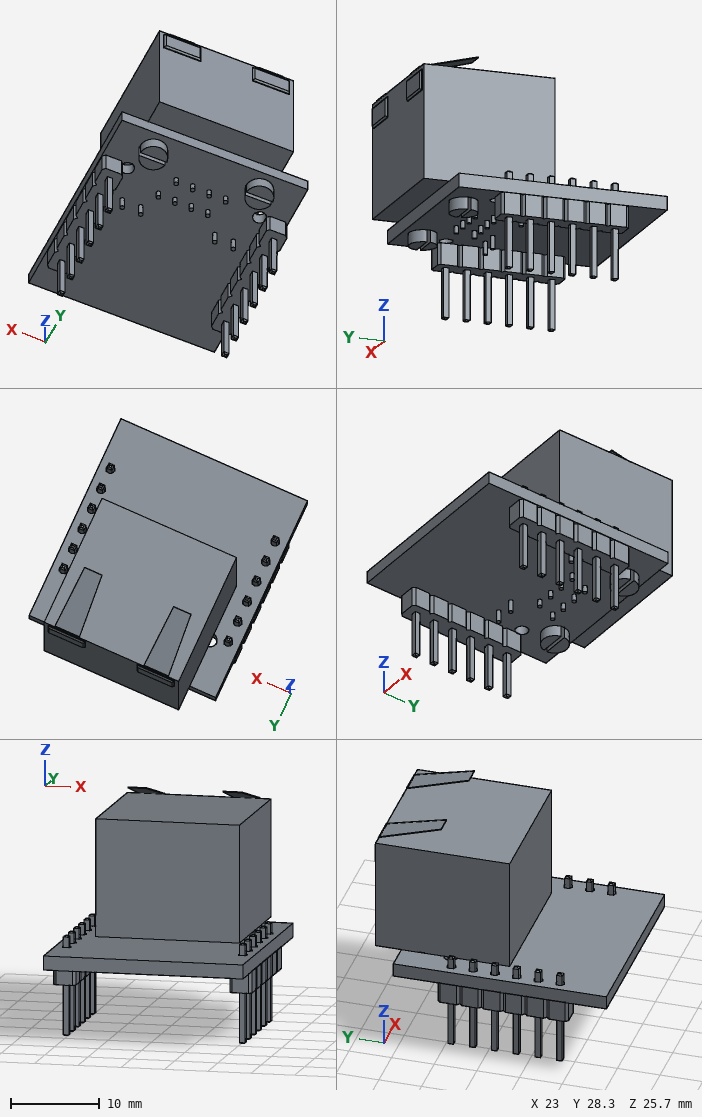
import cadquery as cq
import math


BOARD_X = 23.0
BOARD_Y = 25.0
BOARD_T = 1.6
OPEN_HOLE_D = 1.55
OPEN_HOLE_X = 8.18
OPEN_HOLE_SETBACK = 8.83

PIN_COUNT = 6
PITCH = 2.55
HEADER_X = 10.15
HEADER_Y = -0.3
HEADER_H = 2.55
HEADER_CHAMFER = 0.3
PIN_W = 0.65
PIN_ABOVE_BOARD = 1.3
PIN_BELOW_HEADER = 6.0
PIN_TIP_W = 0.25
PIN_TIP_H = 0.15
PIN_HOLE_D = 1.0

JACK_X = 16.58
JACK_CENTRE_X = -0.03
JACK_Y = 15.73
JACK_Z = 13.5
MOUTH_Y = BOARD_Y / 2 + 3.03
JACK_TOP = BOARD_T + JACK_Z

POST_D = 3.25
POST_X = 6.57
POST_SETBACK = 5.4
POST_BELOW_BOARD = 1.42
POST_SLOT_W = 0.42
POST_SLOT_OFFSET = 0.1

CONTACT_D = 0.5
SIGNAL_COUNT = 8
SIGNAL_PITCH = 1.02
SIGNAL_SETBACK = POST_SETBACK + PITCH
SIGNAL_BELOW_BOARD = 0.85
LED_CONTACT_XS = (4.58, 6.88)
LED_CONTACT_SETBACK = SIGNAL_SETBACK + 2 * PITCH
LED_CONTACT_BELOW_BOARD = 1.53

LENS_AXIS_X = 5.5
FINGER_ROOT_W = 3.03
FINGER_TIP_W = 2.15
FINGER_REACH = 7.2
FINGER_T = 0.1
FINGER_EMBED = 0.03
FINGER_ANGLE = 15.6
LENS_X = 4.58
LENS_Z = 2.43
LENS_DROP = 0.5
LENS_DEPTH = 0.28
LENS_CHAMFER = 0.2

PIN_YS = [HEADER_Y + (i - (PIN_COUNT - 1) / 2) * PITCH for i in range(PIN_COUNT)]
SIGNAL_POINTS = [
    (
        JACK_CENTRE_X + (i - (SIGNAL_COUNT - 1) / 2) * SIGNAL_PITCH,
        MOUTH_Y - SIGNAL_SETBACK - (i % 2) * PITCH,
    )
    for i in range(SIGNAL_COUNT)
]


def mirrored_xs(offset):
    """The two X places at an offset either side of the jack's centre line."""
    return [JACK_CENTRE_X - offset, JACK_CENTRE_X + offset]


LED_CONTACT_POINTS = [
    (x, MOUTH_Y - LED_CONTACT_SETBACK) for offset in LED_CONTACT_XS for x in mirrored_xs(offset)
]
POST_POINTS = [(x, MOUTH_Y - POST_SETBACK) for x in mirrored_xs(POST_X)]


def cylinders(points, diameter, bottom, top):
    """Upright cylinders between two heights."""
    base = cq.Workplane("XY", origin=(0, 0, bottom))
    return base.pushPoints(points).circle(diameter / 2).extrude(top - bottom)


def make_board():
    """Flat board with holes for the header pins, the jack's posts and contacts, and two open holes."""
    pin_points = [(side * HEADER_X, y) for side in (-1, 1) for y in PIN_YS]
    open_points = [(x, MOUTH_Y - OPEN_HOLE_SETBACK) for x in mirrored_xs(OPEN_HOLE_X)]
    board = cq.Workplane("XY").rect(BOARD_X, BOARD_Y).extrude(BOARD_T)
    for points, diameter in (
        (pin_points, PIN_HOLE_D),
        (open_points, OPEN_HOLE_D),
        (POST_POINTS, POST_D),
        (SIGNAL_POINTS + LED_CONTACT_POINTS, CONTACT_D),
    ):
        board = board.cut(cylinders(points, diameter, 0, BOARD_T))
    return board


def make_pin(x, y):
    """Square pin with a tapered tip at each end."""
    shank_bottom = PIN_TIP_H - HEADER_H - PIN_BELOW_HEADER
    shank_top = BOARD_T + PIN_ABOVE_BOARD - PIN_TIP_H
    base = cq.Workplane("XY", origin=(x, y, shank_bottom))
    pin = base.rect(PIN_W, PIN_W).extrude(shank_top - shank_bottom)
    taper = math.degrees(math.atan((PIN_W - PIN_TIP_W) / 2 / PIN_TIP_H))
    for face in (">Z", "<Z"):
        pin = pin.faces(face).workplane().rect(PIN_W, PIN_W).extrude(PIN_TIP_H, taper=taper)
    return pin


def make_header(x):
    """Row of chamfered plastic blocks joined side by side, carrying one pin each."""
    header = cq.Workplane("XY")
    for y in PIN_YS:
        block = (
            cq.Workplane("XY", origin=(x, y, -HEADER_H))
            .rect(PITCH, PITCH)
            .extrude(HEADER_H)
            .edges("|Z")
            .chamfer(HEADER_CHAMFER)
        )
        header = header.union(block).union(make_pin(x, y))
    return header


def make_posts():
    """Locating posts, each split by a slot along X."""
    posts = cylinders(POST_POINTS, POST_D, -POST_BELOW_BOARD, BOARD_T)
    slots = (
        cq.Workplane("XY", origin=(0, 0, -POST_BELOW_BOARD))
        .pushPoints([(x, y - POST_SLOT_OFFSET) for x, y in POST_POINTS])
        .rect(POST_D, POST_SLOT_W)
        .extrude(POST_BELOW_BOARD + BOARD_T)
    )
    return posts.cut(slots)


def make_finger(x):
    """Thin spring finger that rises from the jack's top edge and narrows to its tip."""
    blank = (
        cq.Workplane("XY", origin=(x, MOUTH_Y, JACK_TOP))
        .polyline(
            [
                (-FINGER_ROOT_W / 2, 0),
                (FINGER_ROOT_W / 2, 0),
                (FINGER_TIP_W / 2, -FINGER_REACH),
                (-FINGER_TIP_W / 2, -FINGER_REACH),
            ]
        )
        .close()
        .extrude(JACK_Z, both=True)
    )
    rise = FINGER_REACH * math.tan(math.radians(FINGER_ANGLE))
    sheet = (
        cq.Workplane("YZ", origin=(x, MOUTH_Y, JACK_TOP))
        .polyline(
            [
                (0, -FINGER_EMBED),
                (0, FINGER_T - FINGER_EMBED),
                (-FINGER_REACH, rise + FINGER_T - FINGER_EMBED),
                (-FINGER_REACH, rise - FINGER_EMBED),
            ]
        )
        .close()
        .extrude(FINGER_ROOT_W, both=True)
    )
    return blank.intersect(sheet)


def make_jack():
    """Jack block with its posts, contacts and spring fingers."""
    jack = (
        cq.Workplane("XY", origin=(JACK_CENTRE_X, MOUTH_Y - JACK_Y / 2, BOARD_T))
        .rect(JACK_X, JACK_Y)
        .extrude(JACK_Z)
        .union(make_posts())
        .union(cylinders(SIGNAL_POINTS, CONTACT_D, -SIGNAL_BELOW_BOARD, BOARD_T))
        .union(cylinders(LED_CONTACT_POINTS, CONTACT_D, -LED_CONTACT_BELOW_BOARD, BOARD_T))
    )
    for x in mirrored_xs(LENS_AXIS_X):
        jack = jack.union(make_finger(x))
    return jack


def make_lens(x):
    """LED lens lying on the jack's mouth face, chamfered around its outer face."""
    return (
        cq.Workplane("XZ", origin=(x, MOUTH_Y, JACK_TOP - LENS_DROP - LENS_Z / 2))
        .rect(LENS_X, LENS_Z)
        .extrude(-LENS_DEPTH)
        .faces(">Y")
        .chamfer(LENS_CHAMFER)
    )


board = make_board()
jack = make_jack()
headers = [make_header(side * HEADER_X) for side in (-1, 1)]
lenses = [make_lens(x) for x in mirrored_xs(LENS_AXIS_X)]

result = cq.Compound.makeCompound(
    [board.val(), jack.val()] + [header.val() for header in headers] + [lens.val() for lens in lenses]
)